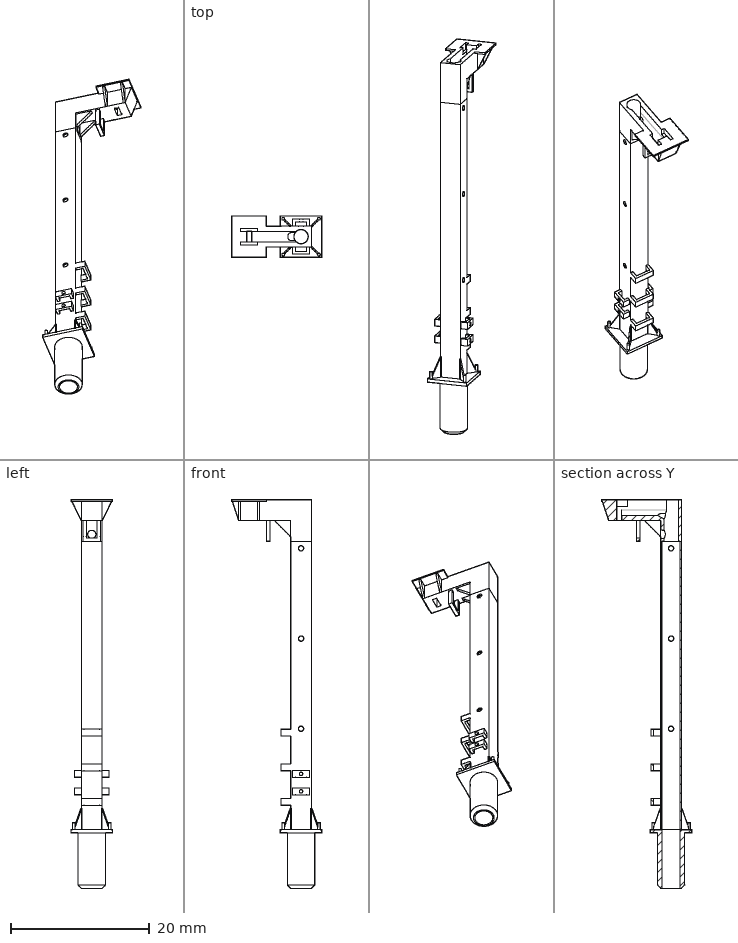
import cadquery as cq
import math

total_height = 56.0
stub_height = 8.0
plate_thickness = 0.5
mast_top_z = 50.0
arm_bottom_z = 53.0
plate_top_z = stub_height + plate_thickness

mast_width = 3.0
mast_half = mast_width / 2
mast_bore_diameter = 2.6
base_width = 6.0
stub_diameter = 4.0
stub_chamfer = 0.5

corner_rib_height = 3.0
corner_rib_thickness = 0.2
bolt_diameter = 0.4
bolt_height = 1.0
bolt_offset = 2.6

mast_hole_diameter = 0.7
mast_hole_pitch = 13.0
first_mast_hole_z = 23.0
mast_hole_count = 3

bracket_height = 1.0
bracket_wall = 0.4
front_bracket_depth = 1.4
front_bracket_pitch = 5.0
first_front_bracket_z = 12.0
front_bracket_count = 3
side_bracket_width = 2.4
side_bracket_depth = 1.0
side_bracket_pitch = 2.5
first_side_bracket_z = 13.5
side_bracket_count = 2
side_bracket_hole_diameter = 0.5

gusset_leg = 2.3
gusset_thickness = 0.5
cable_hole_diameter = 1.2
cable_hole_z = 51.0

arm_bore_diameter = 2.0
overall_length = 13.0
head_tip_x = base_width / 2 - overall_length
nose_setback = 1.0
flange_length = 5.0
flange_thickness = 0.25
head_rib_thickness = 0.3
head_rib_pitch = 2.7
head_rear_x = head_tip_x + flange_length
pocket_width = 2.4
pocket_depth = 1.0
channel_width = 1.5
channel_floor_z = 53.75
seat_length = 0.9
slit_length = 0.7
bend_hole_x = -0.7
bend_hole_slope = 30.0

hoop_thickness = 0.55
hoop_bar = 0.5


def box(x_range, y_range, z_range):
    """A block between the given limits along X, Y and Z."""
    size = [high - low for low, high in (x_range, y_range, z_range)]
    corner = (x_range[0], y_range[0], z_range[0])
    return cq.Workplane("XY").box(*size, centered=False).translate(corner)


def square_block(width, bottom_z, top_z):
    """A block of square section around the mast axis."""
    half = width / 2
    return box((-half, half), (-half, half), (bottom_z, top_z))


def bore(diameter):
    """A vertical bore on the mast axis, over the whole height."""
    return cq.Workplane("XY").circle(diameter / 2).extrude(total_height)


def bracket(width, depth, bottom_z):
    """A U-shaped loop standing out of the -X face of the mast."""
    z_range = (bottom_z, bottom_z + bracket_height)
    outer = box((-mast_half - depth, -mast_half), (-width / 2, width / 2), z_range)
    inner_half = width / 2 - bracket_wall
    slot = box((-mast_half - depth + bracket_wall, -mast_half), (-inner_half, inner_half), z_range)
    return outer.cut(slot)


def side_bracket(bottom_z):
    """A narrow loop with a small hole in its outer bar, on the -X face before it is turned."""
    hole = (
        cq.Workplane("YZ", origin=(-mast_half - side_bracket_depth, 0, bottom_z + bracket_height / 2))
        .circle(side_bracket_hole_diameter / 2)
        .extrude(bracket_wall)
    )
    return bracket(side_bracket_width, side_bracket_depth, bottom_z).cut(hole)


def corner_rib_and_bolt():
    """A triangular rib running out from one mast corner to a bolt on the base plate."""
    inner = mast_half * math.sqrt(2)
    outer = bolt_offset * math.sqrt(2)
    root = inner - corner_rib_thickness
    rib = (
        cq.Workplane("XZ")
        .polyline([
            (root, plate_top_z),
            (outer, plate_top_z),
            (inner, plate_top_z + corner_rib_height),
            (root, plate_top_z + corner_rib_height),
        ])
        .close()
        .extrude(corner_rib_thickness / 2, both=True)
    )
    bolt = (
        cq.Workplane("XY", origin=(outer, 0, plate_top_z))
        .circle(bolt_diameter / 2)
        .extrude(bolt_height)
    )
    return rib.union(bolt)


def make_base():
    """Base plate with a round stub below it and ribs and bolts on its corners."""
    stub = (
        cq.Workplane("XY")
        .circle(stub_diameter / 2)
        .extrude(stub_height)
        .faces("<Z")
        .chamfer(stub_chamfer)
    )
    base = stub.union(square_block(base_width, stub_height, plate_top_z))
    for corner in range(4):
        base = base.union(corner_rib_and_bolt().rotate((0, 0, 0), (0, 0, 1), 45 + 90 * corner))
    return base.cut(square_block(mast_width, plate_top_z, mast_top_z)).cut(bore(mast_bore_diameter))


def make_mast():
    """Square mast with its brackets and cable holes."""
    mast = square_block(mast_width, plate_top_z, mast_top_z)
    for index in range(front_bracket_count):
        bottom_z = first_front_bracket_z + index * front_bracket_pitch
        mast = mast.union(bracket(mast_width, front_bracket_depth, bottom_z))
    for index in range(side_bracket_count):
        loop = side_bracket(first_side_bracket_z + index * side_bracket_pitch)
        for turn in (90, -90):
            mast = mast.union(loop.rotate((0, 0, 0), (0, 0, 1), turn))

    for index in range(mast_hole_count):
        hole_z = first_mast_hole_z + index * mast_hole_pitch
        hole = (
            cq.Workplane("XZ", origin=(0, 0, hole_z))
            .circle(mast_hole_diameter / 2)
            .extrude(mast_half, both=True)
        )
        mast = mast.cut(hole)
    return mast.cut(bore(mast_bore_diameter))


def elbow_block():
    """Block between mast and arm, with two gussets and a cable hole between them."""
    elbow = square_block(mast_width, mast_top_z, arm_bottom_z)
    gusset = (
        cq.Workplane("XZ")
        .polyline([
            (-mast_half, arm_bottom_z),
            (-mast_half - gusset_leg, arm_bottom_z),
            (-mast_half, arm_bottom_z - gusset_leg),
        ])
        .close()
        .extrude(gusset_thickness)
    )
    elbow = elbow.union(gusset.translate((0, -channel_width / 2, 0)))
    elbow = elbow.union(gusset.translate((0, channel_width / 2 + gusset_thickness, 0)))
    cable_hole = (
        cq.Workplane("YZ", origin=(-mast_half, 0, cable_hole_z))
        .circle(cable_hole_diameter / 2)
        .extrude(mast_half)
    )
    return elbow.cut(cable_hole)


def arm_beam():
    """Beam from above the mast to the sloping nose of the lamp head."""
    return (
        cq.Workplane("XZ")
        .polyline([
            (mast_half, arm_bottom_z),
            (mast_half, total_height),
            (head_tip_x, total_height),
            (head_tip_x + nose_setback, arm_bottom_z),
        ])
        .close()
        .extrude(mast_half, both=True)
    )


def head_rib(front_x):
    """A rib across the head that narrows from the flange width to the beam width."""
    return (
        cq.Workplane("YZ", origin=(front_x, 0, 0))
        .polyline([
            (-base_width / 2, total_height),
            (base_width / 2, total_height),
            (mast_half, arm_bottom_z),
            (-mast_half, arm_bottom_z),
        ])
        .close()
        .extrude(head_rib_thickness)
    )


def hoop():
    """U-shaped hoop hanging below the arm."""
    x_range = (head_rear_x, head_rear_x + hoop_thickness)
    inner_half = channel_width / 2
    outer_half = inner_half + hoop_bar
    frame = box(x_range, (-outer_half, outer_half), (mast_top_z, arm_bottom_z))
    return frame.cut(box(x_range, (-inner_half, inner_half), (mast_top_z + hoop_bar, arm_bottom_z)))


def cable_channel():
    """Round-bottomed channel along the beam, from behind the slit to the mast axis."""
    radius = channel_width / 2
    start_x = head_tip_x + nose_setback + head_rib_thickness + seat_length
    axis_z = channel_floor_z + radius
    return (
        cq.Workplane("YZ", origin=(start_x, 0, 0))
        .moveTo(-radius, total_height)
        .lineTo(-radius, axis_z)
        .threePointArc((0, channel_floor_z), (radius, axis_z))
        .lineTo(radius, total_height)
        .close()
        .extrude(-start_x)
    )


def bend_hole():
    """A hole sloping from the channel floor down into the bore."""
    angle = math.radians(bend_hole_slope)
    axis = (math.cos(angle), 0, -math.sin(angle))
    slope = cq.Plane(origin=(bend_hole_x, 0, channel_floor_z), xDir=(0, 1, 0), normal=axis)
    return cq.Workplane(slope).circle(cable_hole_diameter / 2).extrude(mast_width / 2, both=True)


def make_arm():
    """Arm with lamp head, hoop, pocket and cable channel."""
    half_flange = base_width / 2
    flange = box(
        (head_tip_x, head_rear_x),
        (-half_flange, half_flange),
        (total_height - flange_thickness, total_height),
    )
    first_rib_x = head_tip_x + nose_setback
    second_rib_x = first_rib_x + head_rib_pitch
    arm = arm_beam().union(flange).union(head_rib(first_rib_x)).union(head_rib(second_rib_x)).union(hoop())
    arm = arm.union(elbow_block())

    pocket_x = first_rib_x + head_rib_thickness
    pocket = box(
        (pocket_x, second_rib_x),
        (-pocket_width / 2, pocket_width / 2),
        (total_height - pocket_depth, total_height),
    )
    slit_x = pocket_x + seat_length
    half_channel = channel_width / 2
    slit = box((slit_x, slit_x + slit_length), (-half_channel, half_channel), (arm_bottom_z, total_height))
    seat = box((pocket_x, slit_x), (-half_channel, half_channel), (arm_bottom_z, total_height))
    pocket = pocket.cut(seat)
    return arm.cut(pocket).cut(slit).cut(cable_channel()).cut(bend_hole()).cut(bore(arm_bore_diameter))


base = make_base()
mast = make_mast()
arm = make_arm()

result = cq.Compound.makeCompound([base.val(), mast.val(), arm.val()])